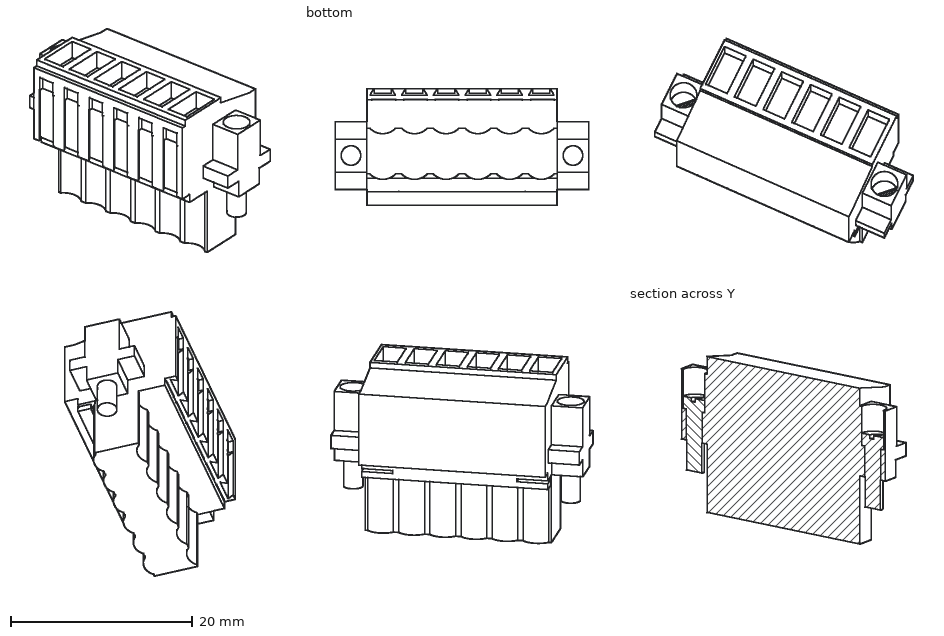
import cadquery as cq

poles = 6
pole_pitch = 3.5
housing_length = poles * pole_pitch
overall_length = 28.0
flange_length = (overall_length - housing_length) / 2
pole_centres = [(i - (poles - 1) / 2) * pole_pitch for i in range(poles)]

housing_depth = 12.9
total_height = 18.7
shoulder_z = 17.95
lip_front_y = 0.5
lip_back_y = 6.8
slope_top_z = 18.05
slope_bottom_z = 17.02
slope_bottom_y = 11.82
base_z = 7.85
front_step_y = 1.25
front_step_z = 8.85
back_step_y = 11.37
back_step_z = 8.75

column_front_y = 4.37
column_back_y = 9.4
arc_width = 2.88
arc_height = 0.62

ledge_front_y = 9.88
ledge_bottom_z = 6.83
ledge_top_z = 7.5
web_length = housing_length - 2 * pole_pitch

window_width = 2.6
window_front_y = 1.2
window_back_y = 6.08
window_offset_x = 0.1
window_depth = 2.07
terminal_top_z = total_height - window_depth
terminal_bottom_z = front_step_z

pocket_width = 1.88
pocket_depth = 0.53
pocket_top_z = 16.97
groove_top_z = 15.35
groove_mouth_width = 1.95
groove_floor_width = 2.8
groove_depth = 0.73

screw_y = 7.4
screw_x = (housing_length + flange_length) / 2
flange_top_z = 15.93
flange_upper_width = 4.0
flange_lower_width = 3.65
crossbar_width = 7.5
crossbar_bottom_z = 9.85
crossbar_top_z = 11.4

head_diameter = 2.95
head_height = 1.4
head_recess = 3.08
head_top_z = flange_top_z - head_recess
head_bottom_z = head_top_z - head_height
shank_diameter = 2.15
shank_bottom_z = 4.4
drive_slot_width = 0.35
drive_slot_depth = 0.42
drive_slot_angle = 45


def block(x_length, y_start, y_end, z_start, z_end, x_centre=0.0):
    """Box centred on x_centre, between the given Y and Z limits."""
    return (
        cq.Workplane("XY")
        .box(x_length, y_end - y_start, z_end - z_start, centered=(True, False, False))
        .translate((x_centre, y_start, z_start))
    )


def cylinder(diameter, z_start, z_end, x_centre):
    """Upright cylinder on a screw axis."""
    return (
        cq.Workplane("XY", origin=(x_centre, screw_y, z_start))
        .circle(diameter / 2)
        .extrude(z_end - z_start)
    )


def housing_block():
    outline = [
        (front_step_y, base_z),
        (front_step_y, front_step_z),
        (0, front_step_z),
        (0, shoulder_z),
        (lip_front_y, shoulder_z),
        (lip_front_y, total_height),
        (lip_back_y, total_height),
        (lip_back_y, slope_top_z),
        (slope_bottom_y, slope_bottom_z),
        (housing_depth, slope_bottom_z),
        (housing_depth, back_step_z),
        (back_step_y, back_step_z),
        (back_step_y, base_z),
    ]
    return cq.Workplane("YZ").polyline(outline).close().extrude(housing_length / 2, both=True)


def plug_column():
    """Column whose front carries one hollow and whose back one lobe for each pole."""
    end_x = housing_length / 2
    outline = cq.Workplane("XY").moveTo(-end_x, column_front_y)
    for x in pole_centres:
        outline = outline.lineTo(x - arc_width / 2, column_front_y).threePointArc(
            (x, column_front_y + arc_height), (x + arc_width / 2, column_front_y)
        )
    outline = outline.lineTo(end_x, column_front_y).lineTo(end_x, column_back_y)
    for x in reversed(pole_centres):
        outline = outline.lineTo(x + arc_width / 2, column_back_y).threePointArc(
            (x, column_back_y + arc_height), (x - arc_width / 2, column_back_y)
        )
    return outline.lineTo(-end_x, column_back_y).close().extrude(base_z)


def locking_ledge():
    bar = block(housing_length, ledge_front_y, back_step_y, ledge_bottom_z, ledge_top_z)
    web = block(web_length, ledge_front_y, back_step_y, ledge_top_z, base_z)
    return bar.union(web)


def flange(side):
    """Cross-shaped flange on one end; side is -1 or +1."""
    x = side * screw_x

    def layer(width, z_start, z_end):
        return block(flange_length, screw_y - width / 2, screw_y + width / 2, z_start, z_end, x)

    lower = layer(flange_lower_width, base_z, crossbar_bottom_z)
    crossbar = layer(crossbar_width, crossbar_bottom_z, crossbar_top_z)
    upper = layer(flange_upper_width, crossbar_top_z, flange_top_z)
    return lower.union(crossbar).union(upper)


def screw_bore(side):
    x = side * screw_x
    counterbore = cylinder(head_diameter, head_bottom_z, flange_top_z, x)
    return cylinder(shank_diameter, base_z, head_bottom_z, x).union(counterbore)


def front_groove(x):
    pocket = block(pocket_width, 0, pocket_depth, groove_top_z, pocket_top_z, x)
    groove = (
        cq.Workplane("XY", origin=(x, 0, base_z))
        .polyline(
            [
                (-groove_mouth_width / 2, 0),
                (groove_mouth_width / 2, 0),
                (groove_floor_width / 2, groove_depth),
                (-groove_floor_width / 2, groove_depth),
            ]
        )
        .close()
        .extrude(groove_top_z - base_z)
    )
    return pocket.union(groove)


def window_block(x, z_start, z_end):
    return block(window_width, window_front_y, window_back_y, z_start, z_end, x + window_offset_x)


def make_housing():
    body = housing_block().union(plug_column()).union(locking_ledge())
    for side in (-1, 1):
        body = body.union(flange(side)).cut(screw_bore(side))
    for x in pole_centres:
        body = body.cut(front_groove(x)).cut(window_block(x, terminal_bottom_z, total_height))
    return body


def make_terminal(x):
    return window_block(x, terminal_bottom_z, terminal_top_z)


def make_screw(side):
    x = side * screw_x
    head = cylinder(head_diameter, head_bottom_z, head_top_z, x)
    shank = cylinder(shank_diameter, shank_bottom_z, head_bottom_z, x)
    drive_slot = (
        cq.Workplane("XY", origin=(x, screw_y, head_top_z - drive_slot_depth))
        .transformed(rotate=(0, 0, drive_slot_angle))
        .rect(2 * head_diameter, drive_slot_width)
        .extrude(drive_slot_depth)
    )
    return head.union(shank).cut(drive_slot)


housing = make_housing()
terminals = [make_terminal(x) for x in pole_centres]
screws = [make_screw(side) for side in (-1, 1)]

result = cq.Compound.makeCompound([housing.val(), *[body.val() for body in terminals + screws]])